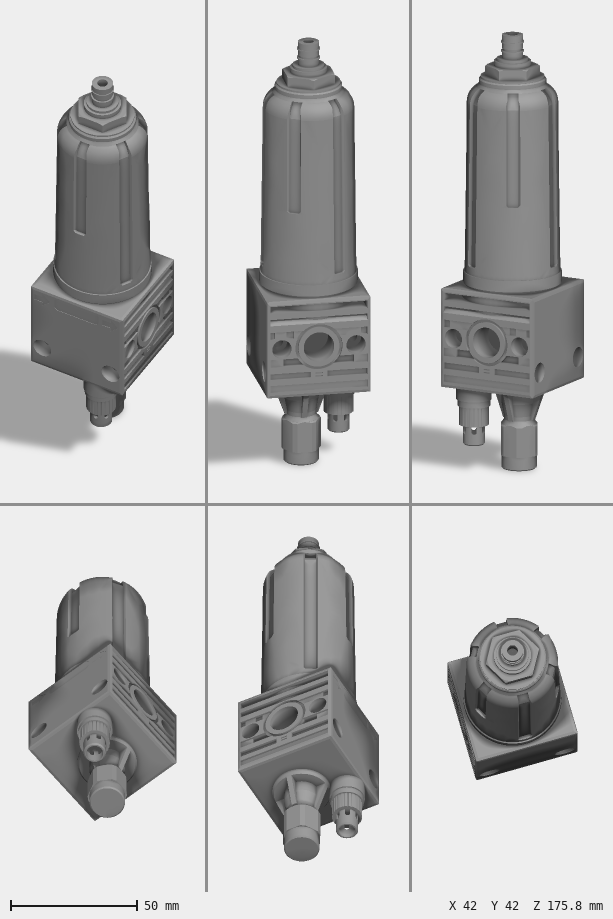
import cadquery as cq
import math

total_height = 175.8
block_width = 42.0
block_height = 40.5
face_pad_height = 0.26
face_pad_inset = 1.0
face = block_width / 2
overlap = 1.8
fitting_drop = 34.1
stem_top_z = total_height - fitting_drop

neck_radius = 18.8
neck_height = 0.9
collar_radius = 19.5
collar_top_z = block_height + 5.5
wall_base_radius = 19.0
wall_top_radius = 18.1
wall_top_z = block_height + 74.2
crown_radius = 14.4
crown_z = block_height + 80.3
crown_mid_radius = 16.9
crown_mid_z = block_height + 78.0
shoulder_radius = 13.2
shoulder_z = block_height + 81.7
flange_radius = 13.4
flange_rim = 0.5
flange_top_z = block_height + 83.8
washer_radius = 12.7
washer_top_z = block_height + 84.5

groove_count = 6
groove_floor_width = 4.4
groove_mouth_width = 6.0
groove_depth = 1.4
groove_top_z = block_height + 80.5
long_groove_end_z = block_height + 8.6
short_groove_end_z = block_height + 35.0
groove_corner = 1.0
groove_inner_reach = 7.0

nut_apothem = 9.5
nut_corner_radius = 11.0
nut_chamfer = 0.5
nut_top_z = block_height + 88.8
boss_radius = 7.4
boss_top_z = block_height + 90.7
boss_step_radius = 6.3
boss_step_top_z = block_height + 91.7
stem_radius = 4.2
stem_lip_radius = 4.5
stem_lip_height = 0.5
stem_lower_lip_z = block_height + 94.4
stem_upper_lip_z = block_height + 98.0
stem_groove_radius = 3.9
stem_groove_height = 0.9
stem_bore_radius = 2.1
stem_bore_depth = 7.0

port_z = 20.5
port_radius = 6.2
port_depth = 12.3
port_land_radius = 9.5
seal_inner_radius = 8.3
seal_depth = 1.0
side_hole_radius = 2.1
side_hole_recess_radius = 3.9
side_hole_recess_depth = 8.8
side_hole_offset = 15.0
front_hole_radius = 2.6
front_hole_recess_radius = 4.0
front_hole_offset = 15.5
front_hole_z = 9.7
front_hole_recess_depth = 6.5

core_groove = (35.5, 38.7)
sill_bottom_z = 30.5
sill_z = 32.0
sill_top_z = 33.2
above_port_groove = (24.6, 27.8)
above_port_pockets = ((17.5, 19.5), (10.0, 13.0), (-19.5, -17.0))
below_port_groove = (13.0, 16.3)
split_groove = (7.7, 10.4)
bottom_groove = (2.5, 5.5)
bridge_slot_bottoms = (8.0, 9.3)
relief_half_width = 19.5
relief_depth = 0.7
pocket_depth = 1.4
core_radius = 19.9
sill_depth = 1.5
below_pocket_half_width = 14.2
below_pocket_depth = 2.6
bridge_half_width = 3.3
bridge_slot_half_width = 1.4
bridge_slot_height = 0.5

mark_depth = 0.2
label_width = 20.0
label_height = 6.0
label_corner = 1.8
label_z = 35.9
arrow_offset = 15.5
arrow_z = 35.5
arrow_length = 7.2
arrow_head_length = 3.5
arrow_head_width = 6.0
arrow_shaft_width = 2.8

drain_y = 3.0
drain_plate_radius = 11.8
drain_plate_height = 2.1
drain_sleeve_radius = 7.0
drain_sleeve_end_z = -7.0
drain_neck_radius = 6.0
drain_neck_start_z = -12.3
drain_neck_end_z = -14.0
drain_nut_apothem = 7.2
drain_nut_corner_apothem = 7.7
drain_nut_rim_radius = 8.3
drain_nut_chamfer = 1.0
drain_nut_top_z = -15.8
drain_nut_bottom_z = -28.5
drain_end_chamfer = 0.5
drain_rib_thickness = 2.1
drain_rib_top_reach = 11.0
drain_rib_bottom_reach = 6.7

plug_x = 7.0
plug_y = -13.5
plug_radius = 7.0
plug_body_end_z = -6.5
plug_ring_radius = 6.5
plug_ring_end_z = -9.1
knurl_radius = 6.0
knurl_end_z = -16.9
knurl_count = 24
knurl_groove_radius = 0.21
tip_radius = 4.4
tip_bore_radius = 3.3
tip_chamfer = 0.5
tip_end_z = -25.0
tip_slot_count = 6
tip_slot_width = 2.0
tip_slot_end_z = -20.4


def cylinder(radius, bottom_z, top_z):
    return cq.Workplane("XY").workplane(offset=bottom_z).circle(radius).extrude(top_z - bottom_z)


def box(x_range, y_range, z_range):
    sizes = [high - low for low, high in (x_range, y_range, z_range)]
    return cq.Workplane("XY").box(*sizes, centered=False).translate((x_range[0], y_range[0], z_range[0]))


def revolve_profile(points):
    """Revolve (radius, z) points about the Z axis; the first and last points lie on it."""
    return cq.Workplane("XZ").polyline(points).close().revolve(360, (0, 0), (0, 1))


def x_cylinder(radius, x_start, length, y, z):
    return cq.Workplane("YZ").workplane(offset=x_start).center(y, z).circle(radius).extrude(length)


def y_cylinder(radius, y_start, length, x, z):
    return cq.Workplane("XZ").workplane(offset=-y_start).center(x, z).circle(radius).extrude(-length)


def hexagon(apothem, bottom_z, top_z):
    corner_diameter = 2 * apothem / math.cos(math.pi / 6)
    return cq.Workplane("XY").workplane(offset=bottom_z).polygon(6, corner_diameter).extrude(top_z - bottom_z)



def bowl_outline(inset):
    """Half outline of the tapered wall and its round crown, moved inward by inset."""
    return (
        cq.Workplane("XZ")
        .moveTo(0, block_height + neck_height)
        .lineTo(wall_base_radius - inset, block_height + neck_height)
        .lineTo(wall_base_radius - inset, collar_top_z)
        .lineTo(wall_top_radius - inset, wall_top_z)
        .threePointArc(
            (crown_mid_radius - inset, crown_mid_z - inset),
            (crown_radius - inset, crown_z - inset),
        )
        .lineTo(shoulder_radius - inset, shoulder_z - inset)
        .lineTo(0, shoulder_z - inset)
        .close()
    )


def grip_groove(end_z):
    """Cutter on the +X side: flat floor that follows the outline, with flared side walls."""
    floor_radius = wall_base_radius - groove_depth
    reach = collar_radius - floor_radius
    flare = (groove_mouth_width - groove_floor_width) / 2 / groove_depth
    floor_half = groove_floor_width / 2
    mouth_half = floor_half + flare * reach
    wall_lean = math.degrees(math.atan((wall_base_radius - wall_top_radius) / (wall_top_z - collar_top_z)))
    inner = floor_radius - groove_inner_reach
    wedge = (
        cq.Workplane("XY")
        .workplane(offset=block_height)
        .polyline([
            (inner, -floor_half),
            (floor_radius, -floor_half),
            (collar_radius, -mouth_half),
            (collar_radius, mouth_half),
            (floor_radius, floor_half),
            (inner, floor_half),
        ])
        .close()
        .extrude(shoulder_z - block_height)
        .rotate((wall_base_radius, 0, collar_top_z), (wall_base_radius, 1, collar_top_z), -wall_lean)
    )
    panel = (
        cq.Workplane("YZ")
        .center(0, (end_z + groove_top_z) / 2)
        .rect(groove_mouth_width, groove_top_z - end_z)
        .extrude(collar_radius)
        .edges("|X and <Z")
        .chamfer(groove_corner)
    )
    floor_block = bowl_outline(groove_depth).extrude(groove_mouth_width, both=True)
    return wedge.intersect(panel).cut(floor_block)


def make_bowl():
    bowl = bowl_outline(0).revolve(360, (0, 0), (0, 1))
    for index in range(groove_count):
        end_z = long_groove_end_z if index % 2 else short_groove_end_z
        angle = -90 + index * 360 / groove_count
        bowl = bowl.cut(grip_groove(end_z).rotate((0, 0, 0), (0, 0, 1), angle))
    collar = cylinder(collar_radius, block_height + neck_height, collar_top_z)
    neck = cylinder(neck_radius, block_height - overlap, collar_top_z)
    flange = cylinder(flange_radius, shoulder_z, flange_top_z).faces(">Z").chamfer(flange_rim)
    return bowl.union(collar).union(neck).union(flange)


def make_stem():
    washer = cylinder(washer_radius, flange_top_z, washer_top_z)
    nut_rim = cylinder(nut_corner_radius, flange_top_z, nut_top_z)
    nut_rim = nut_rim.faces(">Z").chamfer(nut_chamfer, 2 * nut_chamfer)
    nut = hexagon(nut_apothem, flange_top_z, nut_top_z).intersect(nut_rim)
    stem = nut.union(washer).union(cylinder(boss_radius, flange_top_z, boss_top_z))
    stem = stem.union(cylinder(boss_step_radius, flange_top_z, boss_step_top_z))
    stem = stem.union(cylinder(stem_radius, flange_top_z, stem_top_z))
    for lip_z in (stem_lower_lip_z, stem_upper_lip_z):
        stem = stem.union(cylinder(stem_lip_radius, lip_z, lip_z + stem_lip_height))
    groove_z = stem_lower_lip_z + stem_lip_height
    groove = cylinder(stem_lip_radius, groove_z, groove_z + stem_groove_height)
    groove = groove.cut(cylinder(stem_groove_radius, groove_z, groove_z + stem_groove_height))
    stem = stem.cut(groove)
    return stem.cut(cylinder(stem_bore_radius, stem_top_z - stem_bore_depth, stem_top_z))



def port_face_reliefs():
    """Cutter for the horizontal grooves of the -X face."""
    full = (-relief_half_width, relief_half_width)
    shallow = (-face, -face + relief_depth)
    deep = (-face, -face + pocket_depth)

    cutter = box((-face, 0), full, core_groove)
    sill_groove = (
        cq.Workplane("XZ")
        .polyline([
            (-face, sill_bottom_z),
            (-face + sill_depth, sill_z),
            (0, sill_z),
            (0, sill_top_z),
            (-face, sill_top_z),
        ])
        .close()
        .extrude(relief_half_width, both=True)
    )
    cutter = cutter.union(sill_groove).cut(cylinder(core_radius, 0, block_height))

    cutter = cutter.union(box(shallow, full, above_port_groove))
    for pocket_y in above_port_pockets:
        cutter = cutter.union(box(deep, pocket_y, above_port_groove))
    cutter = cutter.union(box(shallow, full, below_port_groove))
    below_pocket = (-below_pocket_half_width, below_pocket_half_width)
    cutter = cutter.union(box((-face, -face + below_pocket_depth), below_pocket, below_port_groove))

    cutter = cutter.union(box(deep, full, split_groove))
    cutter = cutter.cut(box(deep, (-bridge_half_width, bridge_half_width), split_groove))
    for slot_z in bridge_slot_bottoms:
        bridge_slot = (slot_z, slot_z + bridge_slot_height)
        cutter = cutter.union(box(shallow, (-bridge_slot_half_width, bridge_slot_half_width), bridge_slot))

    cutter = cutter.union(box(shallow, full, bottom_groove))

    port_land = x_cylinder(port_land_radius, -face, face, 0, port_z)
    return cutter.cut(port_land)


def port():
    """Cutter for the port bore and the seal ring around it on the -X face."""
    bore = x_cylinder(port_radius, -face, port_depth, 0, port_z)
    ring = x_cylinder(port_land_radius, -face, seal_depth, 0, port_z)
    ring = ring.cut(x_cylinder(seal_inner_radius, -face, seal_depth, 0, port_z))
    return bore.union(ring)


def flow_arrow(x):
    shaft_end = arrow_length / 2 - arrow_head_length
    half_shaft = arrow_shaft_width / 2
    half_head = arrow_head_width / 2
    upper = [(-arrow_length / 2, half_shaft), (shaft_end, half_shaft), (shaft_end, half_head)]
    lower = [(px, -pz) for px, pz in reversed(upper)]
    outline = upper + [(arrow_length / 2, 0)] + lower
    return (
        cq.Workplane("XZ").workplane(offset=face - mark_depth).center(x, arrow_z)
        .polyline(outline).close().extrude(mark_depth)
    )


def label_recess():
    return (
        cq.Workplane("XZ").workplane(offset=face - mark_depth).center(0, label_z)
        .rect(label_width, label_height).extrude(mark_depth)
        .edges("|Y").fillet(label_corner)
    )


def block_body():
    """Box whose six faces are low pads with sloped rims."""
    pad = face_pad_height
    core_width = block_width - 2 * pad
    core_height = block_height - 2 * pad
    rim_angle = math.degrees(math.atan(face_pad_inset / pad))
    body = cq.Workplane("XY").box(core_width, core_width, core_height)
    for plane, length, width, half_depth in (
        ("YZ", core_width, core_height, core_width / 2),
        ("XZ", core_width, core_height, core_width / 2),
        ("XY", core_width, core_width, core_height / 2),
    ):
        pad_plate = (
            cq.Workplane(plane).workplane(offset=half_depth)
            .rect(length, width).extrude(pad, taper=rim_angle)
        )
        body = body.union(pad_plate).union(pad_plate.mirror(plane))
    return body.translate((0, 0, block_height / 2))


def make_block():
    block = block_body()
    side_cutter = port_face_reliefs().union(port())
    for y in (-side_hole_offset, side_hole_offset):
        side_cutter = side_cutter.union(
            x_cylinder(side_hole_recess_radius, -face, side_hole_recess_depth, y, port_z))
    block = block.cut(side_cutter).cut(side_cutter.mirror("YZ"))
    for side in (-1, 1):
        block = block.cut(x_cylinder(side_hole_radius, -face, block_width, side * side_hole_offset, port_z))
        hole_x = side * front_hole_offset
        block = block.cut(y_cylinder(front_hole_radius, -face, block_width, hole_x, front_hole_z))
        recess = y_cylinder(
            front_hole_recess_radius, -face, front_hole_recess_depth, hole_x, front_hole_z)
        block = block.cut(recess).cut(recess.mirror("XZ"))
        block = block.cut(flow_arrow(side * arrow_offset))
    return block.cut(label_recess())



def make_drain():
    nut = hexagon(drain_nut_apothem, drain_nut_bottom_z, drain_nut_top_z)
    nut = nut.rotate((0, 0, 0), (0, 0, 1), 30)
    nut = nut.intersect(hexagon(drain_nut_corner_apothem, drain_nut_bottom_z, drain_nut_top_z))
    nut_envelope = cylinder(drain_nut_rim_radius, drain_nut_bottom_z, drain_nut_top_z)
    nut = nut.intersect(nut_envelope.faces(">Z").chamfer(drain_nut_chamfer))
    sleeve = revolve_profile([
        (0, overlap),
        (drain_plate_radius, overlap),
        (drain_plate_radius, -drain_plate_height / 2),
        (drain_rib_top_reach, -drain_plate_height),
        (drain_sleeve_radius, -drain_plate_height),
        (drain_sleeve_radius, drain_sleeve_end_z),
        (drain_neck_radius, drain_neck_start_z),
        (drain_neck_radius, drain_neck_end_z),
        (drain_sleeve_radius, drain_nut_top_z),
        (drain_sleeve_radius, -fitting_drop + drain_end_chamfer),
        (drain_sleeve_radius - drain_end_chamfer, -fitting_drop),
        (0, -fitting_drop),
    ])
    ribs = (
        cq.Workplane("XZ")
        .polyline([
            (-drain_rib_top_reach, -drain_plate_height),
            (drain_rib_top_reach, -drain_plate_height),
            (drain_rib_bottom_reach, drain_neck_end_z),
            (-drain_rib_bottom_reach, drain_neck_end_z),
        ])
        .close()
        .extrude(drain_rib_thickness / 2, both=True)
    )
    drain = sleeve.union(nut).union(ribs).union(ribs.rotate((0, 0, 0), (0, 0, 1), 90))
    return drain.translate((0, drain_y, 0))


def make_plug():
    plug = cylinder(plug_radius, plug_body_end_z, overlap)
    plug = plug.union(cylinder(plug_ring_radius, plug_ring_end_z, 0))
    knurl = cylinder(knurl_radius, knurl_end_z, 0)
    knurl_grooves = (
        cq.Workplane("XY").workplane(offset=knurl_end_z)
        .polarArray(knurl_radius, 0, 360, knurl_count)
        .circle(knurl_groove_radius).extrude(plug_ring_end_z - knurl_end_z)
    )
    plug = plug.union(knurl.cut(knurl_grooves))
    tip = cylinder(tip_radius, tip_end_z, knurl_end_z).faces("<Z").edges().chamfer(tip_chamfer)
    tip = tip.cut(cylinder(tip_bore_radius, tip_end_z, knurl_end_z))
    slot_radius = tip_slot_width / 2
    slot = box((0, tip_radius), (-slot_radius, slot_radius), (tip_slot_end_z + slot_radius, knurl_end_z))
    slot = slot.union(x_cylinder(slot_radius, 0, tip_radius, 0, tip_slot_end_z + slot_radius))
    for index in range(tip_slot_count):
        angle = (index + 0.5) * 360 / tip_slot_count
        tip = tip.cut(slot.rotate((0, 0, 0), (0, 0, 1), angle))
    return plug.union(tip).translate((plug_x, plug_y, 0))


result = make_block().union(make_bowl()).union(make_stem()).union(make_drain()).union(make_plug())